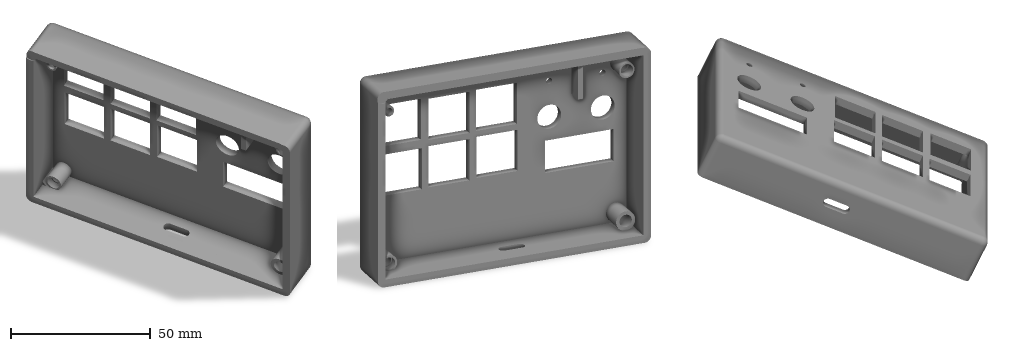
import cadquery as cq

length = 106.8
depth = 18.0
height = 76.0
wall = 3.0
edge_radius = 2.5
front_y = -depth / 2
back_y = depth / 2
plate_y = back_y - wall
inner_length = length - 2 * wall
inner_height = height - 2 * wall

key_size = 16.0
key_centres = [
    (-38.0, 18.0), (-19.1, 17.5), (-0.5, 17.8),
    (-37.7, -1.3), (-19.1, -1.0), (-0.2, -0.5),
]

display_width = 26.9
display_height = 12.6
display_centre = (31.9, -4.9)

knob_diameter = 9.3
knob_centres = [(20.2, 10.5), (41.1, 10.5)]
pin_diameter = 2.3
pin_centres = [(20.1, 24.5), (41.0, 24.0)]

boss_length = 9.0
short_boss_length = 8.1
bosses = [
    ((-46.4, 27.5), boss_length, 4.0, [2.6]),
    ((47.0, 27.1), short_boss_length, 6.0, [4.8, 4.0]),
    ((-46.0, -32.3), short_boss_length, 6.4, [4.8, 4.0, 3.0]),
    ((46.1, -31.1), boss_length, 7.5, [4.8]),
]

web_width = 1.4
web_height = 1.7

rib_width = 2.0
rib_depth = 6.0
rib_x = 29.8
rib_bottom_z = 18.0

step_depth = 0.2
step_end_x = 49.8

post_drop = 0.3
post_diameter = 4.8
post_centre = (-51.7, 36.0)

slot_length = 10.1
slot_width = 3.5
slot_centre = (2.8, -0.1)


def block(x_range, y_range, z_range):
    """Box spanning the given (low, high) ranges."""
    sizes = [high - low for low, high in (x_range, y_range, z_range)]
    corner = (x_range[0], y_range[0], z_range[0])
    return cq.Workplane("XY").box(*sizes, centered=False).translate(corner)


def window(centre, width, window_height):
    """Rectangular cutter through the face plate."""
    x, z = centre
    return block(
        (x - width / 2, x + width / 2),
        (plate_y, back_y),
        (z - window_height / 2, z + window_height / 2),
    )


def rod(centre, diameter, low_y, high_y):
    """Cylinder along Y between two Y positions."""
    x, z = centre
    return cq.Workplane("XZ", origin=(x, high_y, z)).circle(diameter / 2).extrude(high_y - low_y)


outer = cq.Workplane("XY").box(length, depth, height).edges("|Y or >Y").fillet(edge_radius)
cavity = block(
    (-inner_length / 2, inner_length / 2),
    (front_y, plate_y),
    (-inner_height / 2, inner_height / 2),
)
case = outer.cut(cavity)

case = case.union(rod(post_centre, post_diameter, front_y, plate_y).intersect(outer))

step = block(
    (-inner_length / 2, step_end_x),
    (front_y, front_y + step_depth),
    (inner_height / 2, height / 2),
)
case = case.cut(step)
case = case.cut(rod(post_centre, post_diameter, front_y, front_y + post_drop))

case = case.union(
    block(
        (rib_x - rib_width / 2, rib_x + rib_width / 2),
        (plate_y - rib_depth, plate_y),
        (rib_bottom_z, inner_height / 2),
    )
)

for centre in key_centres:
    case = case.cut(window(centre, key_size, key_size))
case = case.cut(window(display_centre, display_width, display_height))
for centre in knob_centres:
    case = case.cut(rod(centre, knob_diameter, plate_y, back_y))
for centre in pin_centres:
    case = case.cut(rod(centre, pin_diameter, plate_y, back_y))

for centre, reach, outer_diameter, hole_diameters in bosses:
    mouth_y = plate_y - reach
    case = case.union(rod(centre, outer_diameter, mouth_y, plate_y))
    step_length = reach / len(hole_diameters)
    for level, hole_diameter in enumerate(hole_diameters, start=1):
        case = case.cut(rod(centre, hole_diameter, mouth_y, mouth_y + level * step_length))

web = (
    cq.Workplane("XZ", origin=(-inner_length / 2, plate_y, -inner_height / 2))
    .polyline([(0, 0), (web_width, 0), (0, web_height)])
    .close()
    .extrude(short_boss_length)
)
case = case.union(web)

slot = (
    cq.Workplane("XY", origin=(*slot_centre, -height / 2))
    .slot2D(slot_length, slot_width)
    .extrude(wall)
)
result = case.cut(slot)